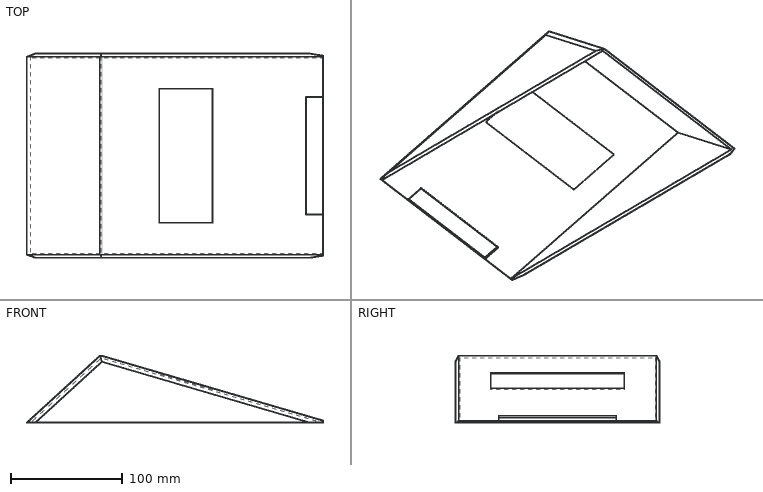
import math

import cadquery as cq

LENGTH = 266.89
WIDTH = 184.0
HEIGHT = 60.28
TIP_HEIGHT = 1.9
RIDGE_X = 66.7
RIDGE_FLAT = 1.8

SLOPE_WALL = 2.0
SIDE_WALL = 4.0

BEVEL_ACROSS = 3.0
BEVEL_DOWN = BEVEL_ACROSS * math.sqrt(3)

RECESS_LENGTH = 50.0
RECESS_WIDTH = 120.5
RECESS_DEPTH = 1.0
RECESS_CENTRE_X = 143.3

SLOT_LENGTH = 16.0
SLOT_WIDTH = 105.5

SHORT_SLOPE_TOP_X = RIDGE_X - RIDGE_FLAT / 2
LONG_SLOPE_TOP_X = RIDGE_X + RIDGE_FLAT / 2
SHORT_ANGLE = math.atan2(HEIGHT, SHORT_SLOPE_TOP_X)
LONG_ANGLE = math.atan2(HEIGHT - TIP_HEIGHT, LENGTH - LONG_SLOPE_TOP_X)
SLOT_CENTRE_X = LENGTH - SLOT_LENGTH / 2 * math.cos(LONG_ANGLE)


def prism(points, width):
    """Side profile in XZ stretched evenly to both sides of the middle plane."""
    return cq.Workplane("XZ").polyline(points).close().extrude(width / 2, both=True)


def wedge():
    """Solid wedge with a narrow flat along the ridge and a low upright tip."""
    return prism(
        [
            (0, 0),
            (SHORT_SLOPE_TOP_X, HEIGHT),
            (LONG_SLOPE_TOP_X, HEIGHT),
            (LENGTH, TIP_HEIGHT),
            (LENGTH, 0),
        ],
        WIDTH,
    )


def cavity():
    """Triangular interior that leaves an even wall under both slopes."""
    start_x = SLOPE_WALL / math.sin(SHORT_ANGLE)
    slope_foot_x = LENGTH + TIP_HEIGHT / math.tan(LONG_ANGLE)
    end_x = slope_foot_x - SLOPE_WALL / math.sin(LONG_ANGLE)
    short_rise = math.tan(SHORT_ANGLE)
    long_rise = math.tan(LONG_ANGLE)
    peak_x = (short_rise * start_x + long_rise * end_x) / (short_rise + long_rise)
    peak_z = short_rise * (peak_x - start_x)
    return prism([(start_x, 0), (peak_x, peak_z), (end_x, 0)], WIDTH - 2 * SIDE_WALL)


def edge_bevel(x, z, angle, side):
    """Triangular bar that trims one side edge of the slope running through (x, z)."""
    half_width = WIDTH / 2
    plane = cq.Plane(
        origin=(x, 0, z),
        xDir=(0, 1, 0),
        normal=(-math.cos(angle), 0, -math.sin(angle)),
    )
    outer_y = side * (half_width + BEVEL_ACROSS)
    inner_y = side * (half_width - 2 * BEVEL_ACROSS)
    return (
        cq.Workplane(plane)
        .moveTo(inner_y, -BEVEL_DOWN)
        .lineTo(outer_y, 2 * BEVEL_DOWN)
        .lineTo(outer_y, -BEVEL_DOWN)
        .close()
        .extrude(LENGTH, both=True)
    )


def long_slope_box(centre_x, length, width, depth):
    """Box sunk square into the long slope, centred across the width."""
    centre_z = HEIGHT - (centre_x - LONG_SLOPE_TOP_X) * math.tan(LONG_ANGLE)
    plane = cq.Plane(
        origin=(centre_x, 0, centre_z),
        xDir=(math.cos(LONG_ANGLE), 0, -math.sin(LONG_ANGLE)),
        normal=(math.sin(LONG_ANGLE), 0, math.cos(LONG_ANGLE)),
    )
    return cq.Workplane(plane).rect(length, width).extrude(-depth)


result = wedge()
for side in (1, -1):
    result = result.cut(edge_bevel(0, 0, SHORT_ANGLE, side))
    result = result.cut(edge_bevel(LENGTH, TIP_HEIGHT, -LONG_ANGLE, side))
result = result.cut(cavity())
result = result.cut(long_slope_box(RECESS_CENTRE_X, RECESS_LENGTH, RECESS_WIDTH, RECESS_DEPTH))
result = result.cut(long_slope_box(SLOT_CENTRE_X, SLOT_LENGTH, SLOT_WIDTH, HEIGHT))